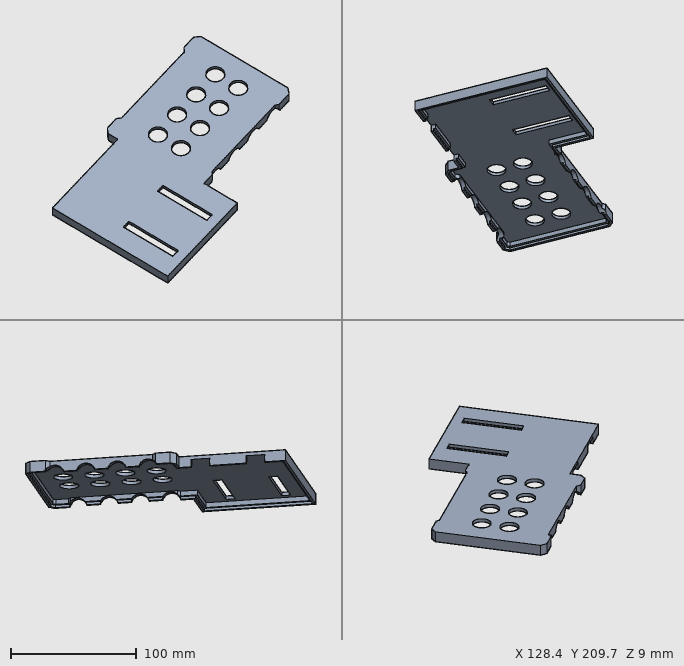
import cadquery as cq

length = 209.7
width = 128.4
thickness = 9.0

head_right = 95.2
head_bottom = 86.8
corner_chamfer = 4.2
waist_top = 189.8
waist_bottom = 106.0
waist_depth_left = 3.0
waist_depth_right = 2.0

base_left = 13.5
base_top = 92.5

hole_diameter = 15.0
hole_columns = (36.3, 59.1)
first_row_y = 110.0
row_pitch = 25.4
row_count = 4
row_positions = [first_row_y + row * row_pitch for row in range(row_count)]
arch_radius = 7.5
arch_axis_z = -2.0

slot_left = 70.3
slot_right = 119.3
slot_width = 7.1
slot_centres_y = (22.2, 67.5)
window_width = 15.0
window_centres_y = (24.5, 69.5)

top_thickness = 3.0
cavity_height = thickness - top_thickness
wall = 4.0
rim_wall = 2.0
rim_height = 2.0


def outline():
    """Stepped outline of head and base, drawn on the underside plane."""
    neck_left = waist_depth_left
    neck_right = head_right - waist_depth_right
    points = [
        (base_left, 0),
        (width, 0),
        (width, base_top),
        (head_right, base_top),
        (head_right, waist_bottom - waist_depth_right),
        (neck_right, waist_bottom),
        (neck_right, waist_top),
        (head_right, waist_top + waist_depth_right),
        (head_right, length - corner_chamfer),
        (head_right - corner_chamfer, length),
        (corner_chamfer, length),
        (0, length - corner_chamfer),
        (0, waist_top + waist_depth_left),
        (neck_left, waist_top),
        (neck_left, waist_bottom),
        (0, waist_bottom - waist_depth_left),
        (0, head_bottom + corner_chamfer),
        (corner_chamfer, head_bottom),
        (base_left, head_bottom),
    ]
    return cq.Workplane("XY").polyline(points).close()


def inset_block(inset, height):
    """Block that follows the outline at a constant inset, rising from the underside."""
    return outline().offset2D(-inset, "intersection").extrude(height)


def hollow():
    """Underside cavity together with the wider step at its rim."""
    return inset_block(wall, cavity_height).union(inset_block(rim_wall, rim_height))


def round_holes():
    """Grid of round through holes in the head."""
    centres = [(x, y) for x in hole_columns for y in row_positions]
    return cq.Workplane("XY").pushPoints(centres).circle(hole_diameter / 2).extrude(thickness)


def wall_arches():
    """Rounded openings through both side walls of the head, one pair per row of holes."""
    axes = [(y, arch_axis_z) for y in row_positions]
    return cq.Workplane("YZ").pushPoints(axes).circle(arch_radius).extrude(head_right)


def top_slots():
    """Rectangular slots through the top of the base."""
    slot_length = slot_right - slot_left
    slot_centre_x = (slot_left + slot_right) / 2
    centres = [(slot_centre_x, y) for y in slot_centres_y]
    return cq.Workplane("XY").pushPoints(centres).rect(slot_length, slot_width).extrude(thickness)


def wall_windows():
    """Windows through the left wall of the base, open at the underside."""
    window_centre_x = base_left + wall / 2
    centres = [(window_centre_x, y) for y in window_centres_y]
    return cq.Workplane("XY").pushPoints(centres).rect(wall, window_width).extrude(cavity_height)


result = (
    outline()
    .extrude(thickness)
    .cut(hollow())
    .cut(round_holes())
    .cut(wall_arches())
    .cut(top_slots())
    .cut(wall_windows())
)